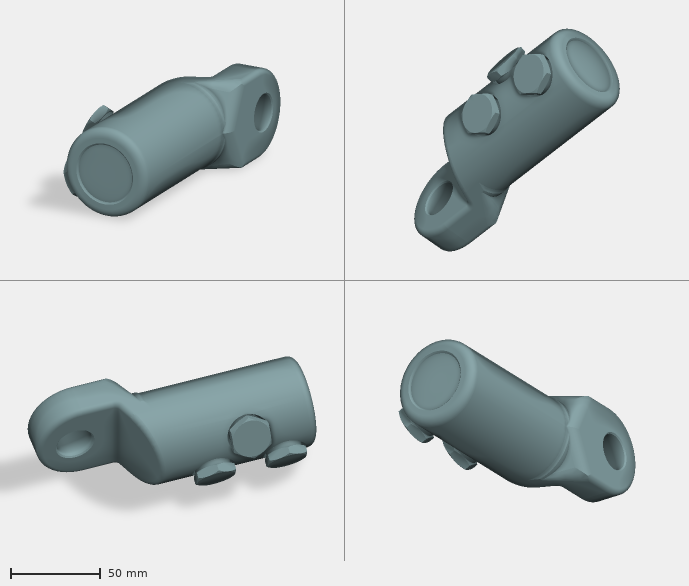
import cadquery as cq
import math


LENGTH = 153.0
BARREL_RADIUS = 26.0
BARREL_END_FILLET = 4.9
MOUTH_RADIUS = 17.9
MOUTH_DEPTH = 1.0

PALM_INNER_X = 8.9
PALM_OUTER_X = 29.7
PALM_START_Y = 89.7
TIP_CENTER_Y = LENGTH - BARREL_RADIUS
HOLE_Y = 131.1
HOLE_DIAMETER = 21.0
HOLE_CHAMFER = 0.8
RIM_FILLET = 3.0

SLOPE_AXIS_Y = 103.0
SLOPE_ANGLE = 23.2
SHOULDER_FILLET = 3.0

ROOT_SLOPE = 0.5
SIDE_ROUND_ANGLE = 11.4
BACK_ROUND_RADIUS = 8.0
FLARE_RADIUS = 4.6
FLARE_GROWTH = 0.8

BOLT_TILT = 25.0
BOLT_FIRST_Y = 19.1
BOLT_PITCH = 20.8
BOLT_SIDES = (-1, 1, -1)
HEAD_FLATS = 22.0
HEAD_SIDES = 6
HEAD_TOP = 31.5
HEAD_HEIGHT = 5.4
HEAD_CHAMFER_ANGLE = 30.0
NECK_DIAMETER = 20.5
SEAT_RADIUS = 12.5
SEAT_BOTTOM = 20.3
NECK_EMBED = 1.5


def slope_y(x):
    """Y of the sloped shoulder at a given X."""
    return SLOPE_AXIS_Y + x * math.tan(math.radians(SLOPE_ANGLE))


def make_barrel():
    """Solid round barrel with a rounded open end."""
    return (
        cq.Workplane("XZ").circle(BARREL_RADIUS).extrude(-LENGTH)
        .faces("<Y").edges().fillet(BARREL_END_FILLET)
    )


def make_palm_block():
    """Square block for the palm and its root, before shaping."""
    depth = LENGTH - PALM_START_Y
    block = cq.Workplane("XY").box(
        PALM_OUTER_X, depth, 2 * BARREL_RADIUS, centered=(False, False, True)
    )
    return block.translate((0, PALM_START_Y, 0))


def make_side_outline():
    """Side profile in XY: barrel, sloped shoulder and palm."""
    return (
        cq.Workplane("XY")
        .moveTo(-BARREL_RADIUS, 0)
        .lineTo(PALM_OUTER_X, 0)
        .lineTo(PALM_OUTER_X, LENGTH)
        .lineTo(PALM_INNER_X, LENGTH)
        .lineTo(PALM_INNER_X, slope_y(PALM_INNER_X))
        .lineTo(-BARREL_RADIUS, slope_y(-BARREL_RADIUS))
        .close()
        .extrude(BARREL_RADIUS, both=True)
        .edges(cq.selectors.NearestToPointSelector((PALM_INNER_X, slope_y(PALM_INNER_X), 0)))
        .fillet(SHOULDER_FILLET)
    )


def make_round_tip_outline():
    """Outline in YZ with the half-round palm tip."""
    return (
        cq.Workplane("YZ")
        .moveTo(0, -BARREL_RADIUS)
        .lineTo(TIP_CENTER_Y, -BARREL_RADIUS)
        .threePointArc((LENGTH, 0), (TIP_CENTER_Y, BARREL_RADIUS))
        .lineTo(0, BARREL_RADIUS)
        .close()
        .extrude(PALM_OUTER_X + BARREL_RADIUS)
        .translate((-BARREL_RADIUS, 0, 0))
    )


def half_space(point, normal):
    """Large block on that side of a plane to which its normal points."""
    plane = cq.Plane(origin=point, xDir=normal.cross(cq.Vector(0, 0, 1)), normal=normal)
    return cq.Workplane(plane).rect(2 * LENGTH, 2 * LENGTH).extrude(LENGTH)


def make_side_rounding(start, edge, root_normal):
    """Waste outside a cone that rounds a side edge, growing from nothing at its start."""
    side_normal = cq.Vector(0, 0, 1)
    angle = math.radians(SIDE_ROUND_ANGLE)
    on_side = edge * math.cos(angle) + side_normal.cross(edge) * math.sin(angle)
    on_root = edge * math.cos(angle) + edge.cross(root_normal) * math.sin(angle)
    growth = (on_side - on_root).Length / (side_normal - root_normal).Length
    axis = on_side - side_normal * growth
    half_angle = math.atan(growth)
    cone = cq.Solid.makeCone(
        0, LENGTH * math.sin(half_angle), LENGTH * math.cos(half_angle), pnt=start, dir=axis
    )
    chord_normal = on_root.cross(on_side)
    return half_space(start, chord_normal).cut(cq.Workplane(cone))


def make_back_rounding(start, edge, root_normal):
    """Waste outside a cylinder that rounds the edge along the palm's outer face."""
    back_normal = cq.Vector(1, 0, 0)
    turn = back_normal.getAngle(root_normal)
    setback = BACK_ROUND_RADIUS * math.tan(turn / 2)
    bisector = (back_normal + root_normal).normalized()
    axis_point = start - bisector * (BACK_ROUND_RADIUS / math.cos(turn / 2))
    cylinder = cq.Solid.makeCylinder(
        BACK_ROUND_RADIUS, 2 * LENGTH, pnt=axis_point - edge * LENGTH, dir=edge
    )
    chord_point = start - bisector * (setback * math.sin(turn / 2))
    return half_space(chord_point, bisector).cut(cq.Workplane(cylinder))


def make_flared_core():
    """Barrel with a concave flare where it enters the palm root."""
    flare_height = math.sqrt(FLARE_RADIUS**2 - (FLARE_RADIUS - FLARE_GROWTH) ** 2)
    return (
        cq.Workplane("XY")
        .lineTo(BARREL_RADIUS, 0)
        .lineTo(BARREL_RADIUS, PALM_START_Y)
        .radiusArc((BARREL_RADIUS + FLARE_GROWTH, PALM_START_Y + flare_height), FLARE_RADIUS)
        .lineTo(BARREL_RADIUS + FLARE_GROWTH, LENGTH)
        .lineTo(0, LENGTH)
        .close()
        .revolve(360, (0, 0), (0, 1))
    )


def make_root_waste():
    """Material removed under the palm root, the same on both Z sides."""
    root_normal = cq.Vector(ROOT_SLOPE, -1, ROOT_SLOPE).normalized()
    side_start = cq.Vector(0, PALM_START_Y, BARREL_RADIUS)
    side_edge = cq.Vector(1, ROOT_SLOPE, 0).normalized()
    back_rise = ROOT_SLOPE * (PALM_OUTER_X - BARREL_RADIUS)
    back_start = cq.Vector(PALM_OUTER_X, PALM_START_Y + back_rise, 0)
    back_edge = cq.Vector(0, ROOT_SLOPE, 1).normalized()
    waste = (
        half_space(side_start, root_normal)
        .union(make_side_rounding(side_start, side_edge, root_normal))
        .union(make_back_rounding(back_start, back_edge, root_normal))
        .intersect(make_palm_block())
        .cut(make_flared_core())
    )
    return waste.union(waste.mirror("XY"))


def make_body():
    """Barrel and palm in one piece, with rounded rims on both palm faces."""
    body = make_barrel().union(make_palm_block())
    body = body.intersect(make_side_outline()).intersect(make_round_tip_outline())
    inner = body.faces(cq.selectors.NearestToPointSelector((PALM_INNER_X, TIP_CENTER_Y, HOLE_DIAMETER)))
    body = inner.edges(">Y").fillet(RIM_FILLET)
    body = body.faces(">X").edges(">Y").fillet(RIM_FILLET)
    return body.cut(make_root_waste())


def make_palm_hole():
    """Through hole with a 45 degree chamfer at each palm face."""
    hole = cq.Workplane("YZ").center(HOLE_Y, 0).circle(HOLE_DIAMETER / 2).extrude(2 * PALM_OUTER_X)
    for face_x, inward in ((PALM_INNER_X, 1), (PALM_OUTER_X, -1)):
        chamfer = cq.Solid.makeCone(
            HOLE_DIAMETER / 2 + HOLE_CHAMFER, HOLE_DIAMETER / 2, HOLE_CHAMFER,
            pnt=cq.Vector(face_x, HOLE_Y, 0), dir=cq.Vector(inward, 0, 0),
        )
        hole = hole.union(cq.Workplane(chamfer))
    return hole


def make_mouth():
    """Shallow tapered recess in the open end of the barrel."""
    return cq.Workplane(cq.Solid.makeCone(
        MOUTH_RADIUS, MOUTH_RADIUS - MOUTH_DEPTH, MOUTH_DEPTH, dir=cq.Vector(0, 1, 0)
    ))


def place_bolt(shape, y, side):
    """Turn a shape built along +Z to point along -X, tilted towards the given Z side."""
    turned = shape.rotate((0, 0, 0), (0, 1, 0), -90 + side * BOLT_TILT)
    return turned.translate((0, y, 0))


def make_bolt_seat():
    """Conical recess around the bolt neck, opening outwards."""
    neck_radius = NECK_DIAMETER / 2
    slope = (SEAT_RADIUS - neck_radius) / (BARREL_RADIUS - SEAT_BOTTOM)
    top_radius = neck_radius + slope * (HEAD_TOP - SEAT_BOTTOM)
    return (
        cq.Workplane("XZ")
        .moveTo(0, SEAT_BOTTOM)
        .lineTo(neck_radius, SEAT_BOTTOM)
        .lineTo(top_radius, HEAD_TOP)
        .lineTo(0, HEAD_TOP)
        .close()
        .revolve(360, (0, 0), (0, 1))
    )


def make_bolt():
    """Hexagon head with conical chamfers on both faces, on a round neck."""
    underside = HEAD_TOP - HEAD_HEIGHT
    corner_diameter = HEAD_FLATS / math.cos(math.pi / HEAD_SIDES)
    flat_radius = HEAD_FLATS / 2
    corner_radius = corner_diameter / 2
    drop = (corner_radius - flat_radius) * math.tan(math.radians(HEAD_CHAMFER_ANGLE))
    envelope = (
        cq.Workplane("XZ")
        .moveTo(0, underside)
        .lineTo(flat_radius, underside)
        .lineTo(corner_radius, underside + drop)
        .lineTo(corner_radius, HEAD_TOP - drop)
        .lineTo(flat_radius, HEAD_TOP)
        .lineTo(0, HEAD_TOP)
        .close()
        .revolve(360, (0, 0), (0, 1))
    )
    head = (
        cq.Workplane("XY").workplane(offset=underside)
        .polygon(HEAD_SIDES, corner_diameter).extrude(HEAD_HEIGHT)
        .intersect(envelope)
    )
    neck = (
        cq.Workplane("XY").workplane(offset=SEAT_BOTTOM - NECK_EMBED)
        .circle(NECK_DIAMETER / 2).extrude(underside - SEAT_BOTTOM + NECK_EMBED)
    )
    return head.union(neck)


result = make_body().cut(make_palm_hole()).cut(make_mouth())
for index, side in enumerate(BOLT_SIDES):
    y = BOLT_FIRST_Y + index * BOLT_PITCH
    result = result.cut(place_bolt(make_bolt_seat(), y, side))
    result = result.union(place_bolt(make_bolt(), y, side))